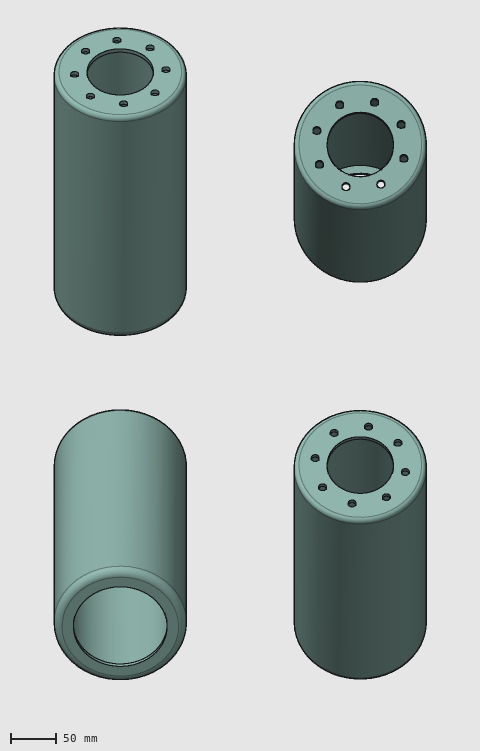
import cadquery as cq

height = 341.0
outer_diameter = 147.0
cavity_diameter = 122.0
end_thickness = 5.0

top_flat_diameter = 136.0
top_round = (outer_diameter - top_flat_diameter) / 2
bottom_round = 9.0

top_opening_diameter = 73.5
bottom_opening_diameter = 104.0

hole_count = 8
hole_diameter = 9.0
hole_circle_radius = 50.8


def bore(diameter, bottom, top):
    """Upright cylinder on the part axis between two heights."""
    return cq.Workplane("XY").workplane(offset=bottom).circle(diameter / 2).extrude(top - bottom)


def rounded_body():
    body = bore(outer_diameter, 0, height)
    body = body.faces(">Z").edges().fillet(top_round)
    return body.faces("<Z").edges().fillet(bottom_round)


def top_holes():
    return (
        cq.Workplane("XY")
        .workplane(offset=height - end_thickness)
        .polarArray(hole_circle_radius, 0, 360, hole_count)
        .circle(hole_diameter / 2)
        .extrude(end_thickness)
    )


cavity_top = height - end_thickness
result = (
    rounded_body()
    .cut(bore(cavity_diameter, end_thickness, cavity_top))
    .cut(bore(bottom_opening_diameter, 0, end_thickness))
    .cut(bore(top_opening_diameter, cavity_top, height))
    .cut(top_holes())
)